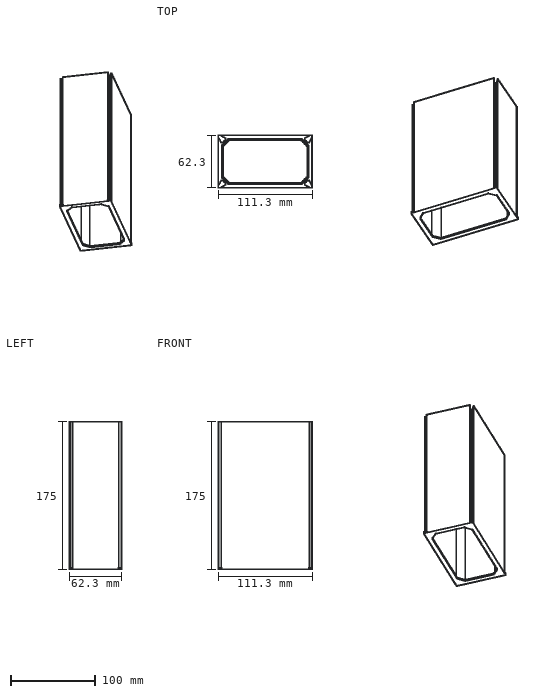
import cadquery as cq
import math

LENGTH_X = 111.29
WIDTH_Y = 62.3
HEIGHT = 175.0

WALL = 4.0
CORNER_CUT = 8.5
LIP_WIDTH = 1.8
BASE_THICKNESS = 2.0

CORNER_WEB = 1.8
MOUTH_SETBACK = 3.7
MOUTH_LAND = 0.85
GROOVE_REACH = 9.0
FLANK_ANGLE = 28.0


def cavity(inset, corner_cut, z_bottom, height):
    """Vertical prism with cut corners, inset from the outer walls."""
    return (
        cq.Workplane("XY", origin=(0, 0, z_bottom))
        .rect(LENGTH_X - 2 * inset, WIDTH_Y - 2 * inset)
        .extrude(height)
        .edges("|Z")
        .chamfer(corner_cut)
    )


def groove_outline():
    """Groove section; x and y are distances inward from the two outer faces at a corner."""
    flank_run = (GROOVE_REACH - MOUTH_SETBACK) * math.tan(math.radians(FLANK_ANGLE))
    flank_end = MOUTH_LAND + flank_run
    floor_sum = 2 * WALL + CORNER_CUT - CORNER_WEB * math.sqrt(2)
    floor_end = floor_sum - GROOVE_REACH
    half = [
        (0, MOUTH_SETBACK),
        (MOUTH_LAND, MOUTH_SETBACK),
        (flank_end, GROOVE_REACH),
        (floor_end, GROOVE_REACH),
    ]
    mirrored_half = [(y, x) for x, y in reversed(half)]
    return [(0, 0)] + half + mirrored_half


def corner_groove(side_x, side_y):
    """Cutter for the groove at one upright corner; it stops above the base."""
    corner_x = side_x * LENGTH_X / 2
    corner_y = side_y * WIDTH_Y / 2
    points = [(corner_x - side_x * x, corner_y - side_y * y) for x, y in groove_outline()]
    return (
        cq.Workplane("XY", origin=(0, 0, BASE_THICKNESS))
        .polyline(points)
        .close()
        .extrude(HEIGHT - BASE_THICKNESS)
    )


lip_corner_cut = CORNER_CUT - LIP_WIDTH * (2 - math.sqrt(2))

body = cq.Workplane("XY").rect(LENGTH_X, WIDTH_Y).extrude(HEIGHT)
body = body.cut(cavity(WALL, CORNER_CUT, BASE_THICKNESS, HEIGHT - BASE_THICKNESS))
body = body.cut(cavity(WALL + LIP_WIDTH, lip_corner_cut, 0, BASE_THICKNESS))

for side_x in (-1, 1):
    for side_y in (-1, 1):
        body = body.cut(corner_groove(side_x, side_y))

result = body